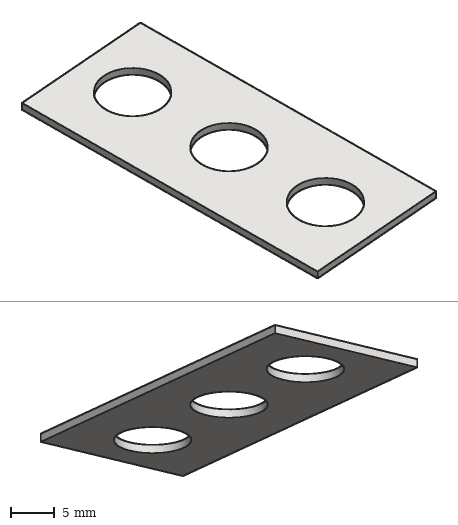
import cadquery as cq

plate_length = 45.95
plate_width = 20.1
plate_thickness = 1.0

hole_diameter = 8.85
hole_count = 3
hole_spacing = 15.0

plate = cq.Workplane("XY").box(plate_length, plate_width, plate_thickness)

result = (
    plate.faces(">Z")
    .workplane()
    .rarray(hole_spacing, plate_width, hole_count, 1)
    .hole(hole_diameter)
)